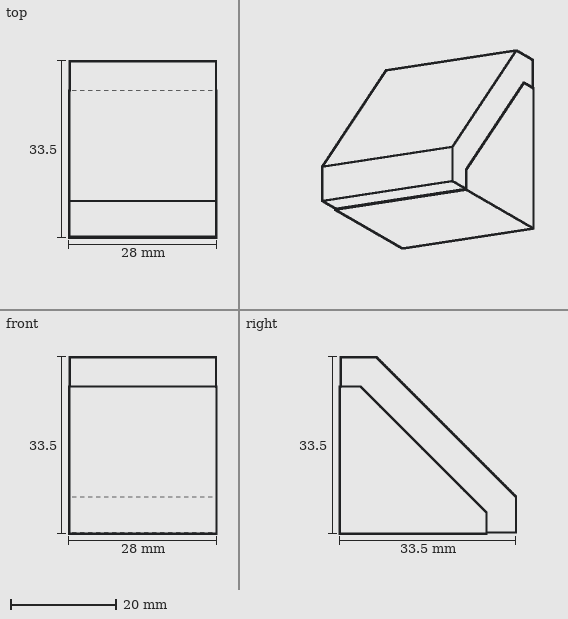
import cadquery as cq

wedge_width = 28.0
wedge_leg = 27.9
wedge_tip = 4.0

side_inset = 0.1
corner_inset = 0.2
overall_leg = 33.5
core_tip = 6.8


def blunted_wedge(width, corner, leg_end, tip):
    """Triangular prism centred on X; its square corner is at Y = Z = corner."""
    outline = [
        (corner, corner),
        (leg_end, corner),
        (leg_end, corner + tip),
        (corner + tip, leg_end),
        (corner, leg_end),
    ]
    return cq.Workplane("YZ").polyline(outline).close().extrude(width / 2, both=True)


wide_wedge = blunted_wedge(wedge_width, 0, wedge_leg, wedge_tip)
core_wedge = blunted_wedge(wedge_width - 2 * side_inset, corner_inset, overall_leg, core_tip)

result = wide_wedge.union(core_wedge)